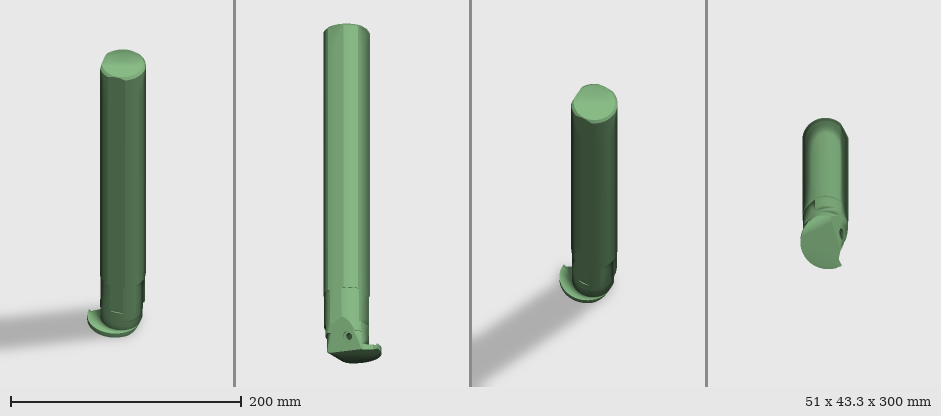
import cadquery as cq

bar_length = 300.0
blade_bottom = 0.0
blade_top = 4.8
groove_top = 16.2
head_top = 25.2
shank_bottom = 55.2

shank_radius = 20.0
neck_radius = 19.5
lower_head_radius = 18.3
lower_head_x = -1.0
lower_head_y = -0.5
top_chamfer = 2.0

side_flat = 17.5
front_flat = 18.5
head_side_flat = 18.3

blade_x = -6.5
blade_y = -0.5
blade_radius = 24.3
corner_radius = 9.0

clamp_normal = (-0.18, 0.92, -0.35)
clamp_point = (-8.5, 11.7, 11.5)
screw_hole_diameter = 6.0
screw_head_diameter = 10.0
screw_head_depth = 1.8
screw_hole_depth = 9.0

tip_x = -31.0
tip_back_x = -30.3
rake_y = -0.3
heel_y = -4.8
tail_heel_y = -4.0
tail_rake_y = 1.5
rake_end_x = -26.5
tail_start_x = -22.8
heel_step_x = -23.7
tail_x = -18.5
shoulder_y = 4.8
chip_pocket_start_x = -29.7
chip_pocket_y = -2.7
chip_pocket_depth = 1.2

cutter_size = 120.0


def cylinder(radius, bottom, top, x=0.0, y=0.0):
    """Vertical cylinder between two heights."""
    return cq.Workplane("XY", origin=(x, y, bottom)).circle(radius).extrude(top - bottom)


def block(x_min, x_max, y_min, y_max, bottom, top):
    """Upright box between the given limits."""
    size = (x_max - x_min, y_max - y_min, top - bottom)
    return cq.Workplane("XY").box(*size, centered=False).translate((x_min, y_min, bottom))


def plate(points, bottom, top):
    """Flat plate with a polygonal outline."""
    return cq.Workplane("XY", origin=(0, 0, bottom)).polyline(points).close().extrude(top - bottom)


def make_shank():
    """Flatted round shank with a chamfered top end."""
    shank = cylinder(shank_radius, shank_bottom, bar_length).faces(">Z").chamfer(top_chamfer)
    flats = block(-side_flat, shank_radius, -front_flat, front_flat, shank_bottom, bar_length)
    return shank.intersect(flats)


def make_neck():
    """Reduced section that carries on the shank flats and is relieved on its -Y half."""
    neck = cylinder(neck_radius, head_top, shank_bottom)
    flats = block(-side_flat, neck_radius, -front_flat, front_flat, head_top, shank_bottom)
    relief = cylinder(blade_radius, head_top, shank_bottom, blade_x, blade_y)
    back_half = block(-neck_radius, neck_radius, 0, neck_radius, head_top, shank_bottom)
    relief = relief.union(back_half)
    return neck.intersect(flats).intersect(relief)


def make_head():
    """Collar and lower head, flat on the -X side and at +Y."""
    collar = cylinder(neck_radius, groove_top, head_top)
    lower_head = cylinder(
        lower_head_radius, blade_bottom, groove_top, lower_head_x, lower_head_y
    )
    flats = block(-head_side_flat, neck_radius, -neck_radius, front_flat, blade_bottom, head_top)
    relief = cylinder(blade_radius, blade_bottom, head_top, blade_x, blade_y)
    return collar.union(lower_head).intersect(flats).intersect(relief)


def make_blade():
    """Curved blade under the head, with a shoulder behind the insert."""
    disc = cylinder(blade_radius, blade_bottom, blade_top, blade_x, blade_y)
    lower_half = block(-cutter_size, cutter_size, -cutter_size, heel_y, blade_bottom, blade_top)
    shoulder = plate(
        [
            (heel_step_x, heel_y),
            (tail_start_x, tail_rake_y),
            (tail_x, shoulder_y),
            (blade_x, shoulder_y),
            (blade_x, heel_y),
        ],
        blade_bottom,
        blade_top,
    )
    return disc.intersect(lower_half).union(shoulder)


def make_corner_envelope():
    """Space left by the rounded lower corner on the +X side."""
    right = blade_x + blade_radius
    rounded = block(-cutter_size, right, -cutter_size, cutter_size, blade_bottom, head_top)
    rounded = rounded.edges("|Y and >X and <Z").fillet(corner_radius)
    above = block(-cutter_size, cutter_size, -cutter_size, cutter_size, head_top, bar_length)
    return rounded.union(above)


def cut_clamp_face(bar):
    """Cut the sloping clamp face and its counterbored screw hole."""
    clamp_plane = cq.Plane(origin=clamp_point, xDir=(1, 0, clamp_normal[0] / -clamp_normal[2]),
                           normal=clamp_normal)
    face_cutter = cq.Workplane(clamp_plane).rect(cutter_size, cutter_size).extrude(cutter_size)
    hole = cq.Workplane(clamp_plane).circle(screw_hole_diameter / 2).extrude(-screw_hole_depth)
    recess = cq.Workplane(clamp_plane).circle(screw_head_diameter / 2).extrude(-screw_head_depth)
    return bar.cut(face_cutter).cut(hole).cut(recess)


def make_insert():
    """Cutting insert that points towards -X from its seat in the blade, with a chip pocket."""
    outline = [
        (tip_x, rake_y),
        (tip_back_x, heel_y),
        (heel_step_x, heel_y),
        (heel_step_x, tail_heel_y),
        (tail_x, tail_heel_y),
        (tail_x, tail_rake_y),
        (tail_start_x, tail_rake_y),
        (rake_end_x, rake_y),
    ]
    chip_pocket = block(
        chip_pocket_start_x, rake_end_x, chip_pocket_y, rake_y, blade_top - chip_pocket_depth, blade_top
    )
    return plate(outline, blade_bottom, blade_top).cut(chip_pocket)


insert = make_insert()
bar = make_shank().union(make_neck()).union(make_head()).union(make_blade())
bar = cut_clamp_face(bar.intersect(make_corner_envelope())).cut(insert)

result = cq.Compound.makeCompound([bar.val(), insert.val()])